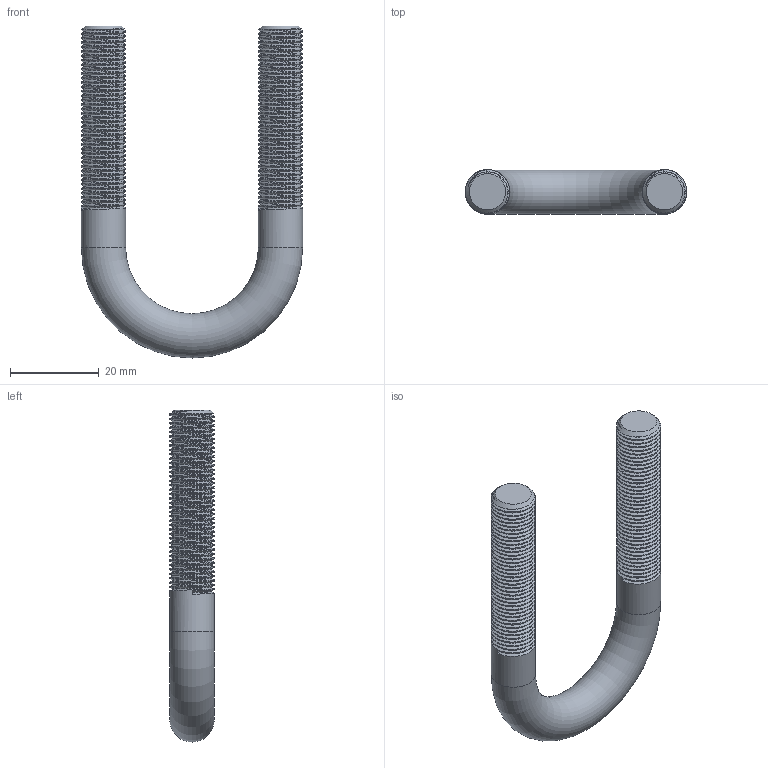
import cadquery as cq
import math

ROD_DIAMETER = 10.0
LEG_SPACING = 40.0
OVERALL_HEIGHT = 75.0
END_CHAMFER = 0.9

PITCH = 1.0
THREAD_DEPTH = 5 / 8 * PITCH * math.sqrt(3) / 2
CREST_FLAT = PITCH / 4
ROOT_FLAT = PITCH / 8
THREAD_LENGTH = 41.25
START_ANGLE = 180.0

GROOVE_SECTIONS = (10, 10, 10, 11)
CUT_OVERLAP = 0.1
SEAM_OFFSET = 90.0

ROD_RADIUS = ROD_DIAMETER / 2
BEND_RADIUS = LEG_SPACING / 2
BEND_CENTER_Z = BEND_RADIUS + ROD_RADIUS
LEG_LENGTH = OVERALL_HEIGHT - BEND_CENTER_Z


def groove_cutter(turns):
    """Helical groove around the Z axis, starting at Z = 0 on the thread start side."""
    root_radius = ROD_RADIUS - THREAD_DEPTH
    outer_radius = ROD_RADIUS + CUT_OVERLAP
    half_root = ROOT_FLAT / 2
    half_mouth = (PITCH - CREST_FLAT) / 2
    flank_slope = (half_mouth - half_root) / THREAD_DEPTH
    half_outer = half_mouth + CUT_OVERLAP * flank_slope
    profile = cq.Workplane("XZ").polyline([
        (root_radius, -half_root),
        (outer_radius, -half_outer),
        (outer_radius, half_outer),
        (root_radius, half_root),
    ]).close()
    helix = cq.Wire.makeHelix(PITCH, turns * PITCH, ROD_RADIUS)
    cutter = profile.sweep(cq.Workplane(helix), isFrenet=True)
    return cutter.rotate((0, 0, 0), (0, 0, 1), START_ANGLE)


def threaded_leg():
    """Straight leg with its base on Z = 0 and a chamfered, threaded tip."""
    leg = cq.Workplane("XY").circle(ROD_RADIUS).extrude(LEG_LENGTH)
    leg = leg.faces(">Z").chamfer(END_CHAMFER)
    leg = leg.rotate((0, 0, 0), (0, 0, 1), START_ANGLE + SEAM_OFFSET)
    section_start = LEG_LENGTH - THREAD_LENGTH
    for turns in GROOVE_SECTIONS:
        leg = leg.cut(groove_cutter(turns).translate((0, 0, section_start)))
        section_start += turns * PITCH
    return leg


def bend():
    """Half torus joining the lower ends of the two legs."""
    path = (
        cq.Workplane("XZ")
        .moveTo(-BEND_RADIUS, BEND_CENTER_Z)
        .threePointArc((0, BEND_CENTER_Z - BEND_RADIUS), (BEND_RADIUS, BEND_CENTER_Z))
    )
    section = cq.Workplane("XY", origin=(-BEND_RADIUS, 0, BEND_CENTER_Z)).circle(ROD_RADIUS)
    return section.sweep(path)


leg = threaded_leg()
result = bend()
for side in (-1, 1):
    result = result.union(leg.translate((side * BEND_RADIUS, 0, BEND_CENTER_Z)))